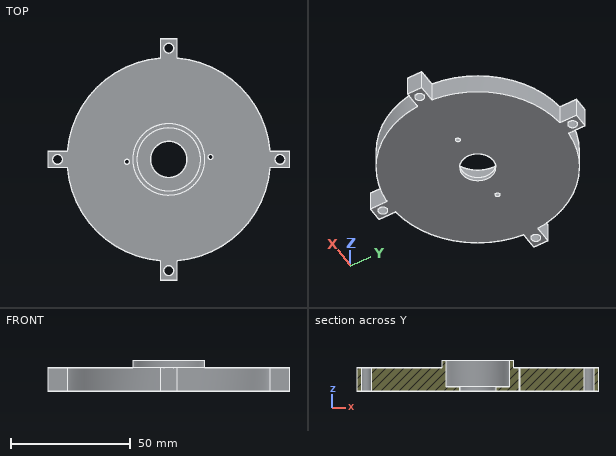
import cadquery as cq

span = 101.0
plate_diameter = 85.0
plate_thickness = 10.0
ear_width = 7.0
ear_hole_diameter = 4.0
ear_hole_edge_distance = 4.0

collar_diameter = 30.0
collar_height = 3.0
seat_diameter = 26.5
floor_thickness = 2.0
through_diameter = 15.0

pin_hole_diameter = 2.0
pin_hole_x = 17.5
pin_hole_y = 1.0

total_height = plate_thickness + collar_height
ear_hole_radius = span / 2 - ear_hole_edge_distance


def vertical_cylinders(diameter, height, centers, base=0):
    """Equal upright cylinders starting at the given base height."""
    plane = cq.Workplane("XY").workplane(offset=base)
    return plane.pushPoints(centers).circle(diameter / 2).extrude(height)


centered_on_base = (True, True, False)
plate = cq.Workplane("XY").circle(plate_diameter / 2).extrude(plate_thickness)
ears_x = cq.Workplane("XY").box(span, ear_width, plate_thickness, centered=centered_on_base)
ears_y = cq.Workplane("XY").box(ear_width, span, plate_thickness, centered=centered_on_base)
collar = vertical_cylinders(collar_diameter, total_height, [(0, 0)])
body = plate.union(ears_x).union(ears_y).union(collar)

seat = vertical_cylinders(seat_diameter, total_height - floor_thickness, [(0, 0)], floor_thickness)
through = vertical_cylinders(through_diameter, total_height, [(0, 0)])

ear_hole_centers = [
    (ear_hole_radius, 0),
    (0, ear_hole_radius),
    (-ear_hole_radius, 0),
    (0, -ear_hole_radius),
]
ear_holes = vertical_cylinders(ear_hole_diameter, plate_thickness, ear_hole_centers)
pin_hole_centers = [(pin_hole_x, pin_hole_y), (-pin_hole_x, -pin_hole_y)]
pin_holes = vertical_cylinders(pin_hole_diameter, plate_thickness, pin_hole_centers)

result = body.cut(seat).cut(through).cut(ear_holes).cut(pin_holes)